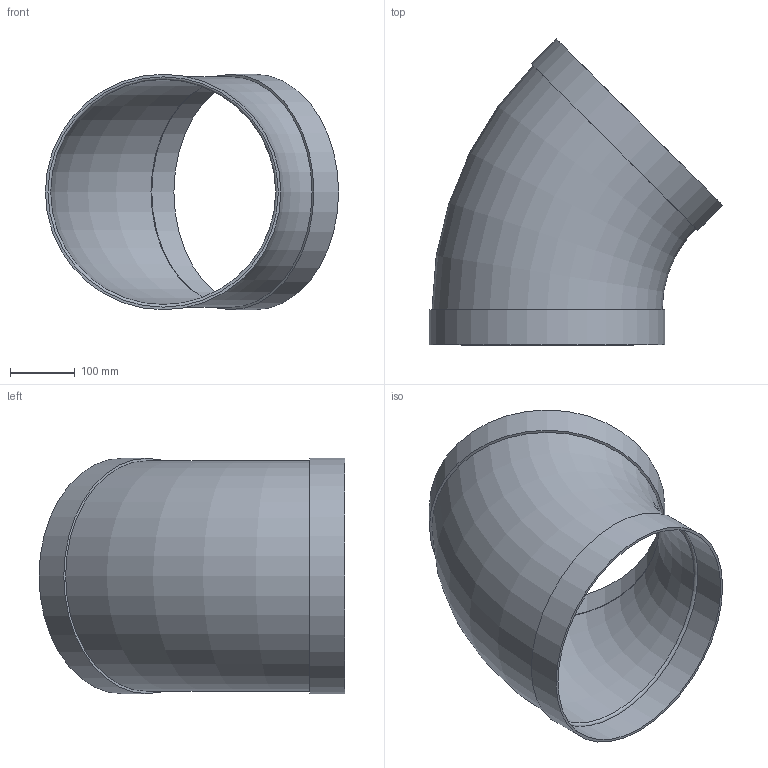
import cadquery as cq
import math

pipe_diameter = 355.0
wall = 4.0
bend_angle = 45.0
bend_radius = pipe_diameter
socket_length = 54.0
shoulder_radius = wall

socket_diameter = pipe_diameter + 2 * wall
bore_diameter = pipe_diameter - 2 * wall

angle = math.radians(bend_angle)
inlet_axis = cq.Vector(0, 1, 0)
outlet_axis = cq.Vector(math.sin(angle), math.cos(angle), 0)
inlet_mouth = cq.Vector(0, 0, 0)
bend_end = cq.Vector(
    bend_radius * (1 - math.cos(angle)),
    socket_length + bend_radius * math.sin(angle),
    0,
)
outlet_mouth = bend_end + outlet_axis * socket_length

ends = [(inlet_mouth, inlet_axis), (outlet_mouth, outlet_axis * -1)]


def bend():
    """Curved pipe between the two sockets."""
    return (
        cq.Workplane("XZ", origin=(0, socket_length, 0))
        .circle(pipe_diameter / 2)
        .circle(bore_diameter / 2)
        .revolve(bend_angle, (bend_radius, 0, 0), (bend_radius, -1, 0))
    )


def socket(mouth, inward):
    """Sleeve that holds a pipe, narrowing to the bore over a convex rounded shoulder."""
    outer_radius = socket_diameter / 2
    pipe_radius = pipe_diameter / 2
    bore_radius = bore_diameter / 2
    arc_offset = shoulder_radius * math.sin(math.radians(45))

    upward = cq.Vector(0, 0, 1)
    profile_plane = cq.Plane(origin=mouth, xDir=upward, normal=upward.cross(inward))
    return (
        cq.Workplane(profile_plane)
        .moveTo(outer_radius, 0)
        .lineTo(pipe_radius, 0)
        .lineTo(pipe_radius, socket_length - shoulder_radius)
        .threePointArc(
            (pipe_radius - arc_offset, socket_length - arc_offset),
            (bore_radius, socket_length),
        )
        .lineTo(outer_radius, socket_length)
        .close()
        .revolve(360, (0, 0, 0), (0, 1, 0))
    )


def elbow():
    """Bend with a socket joined to each end."""
    body = bend()
    for mouth, inward in ends:
        body = body.union(socket(mouth, inward))
    return body


result = elbow()